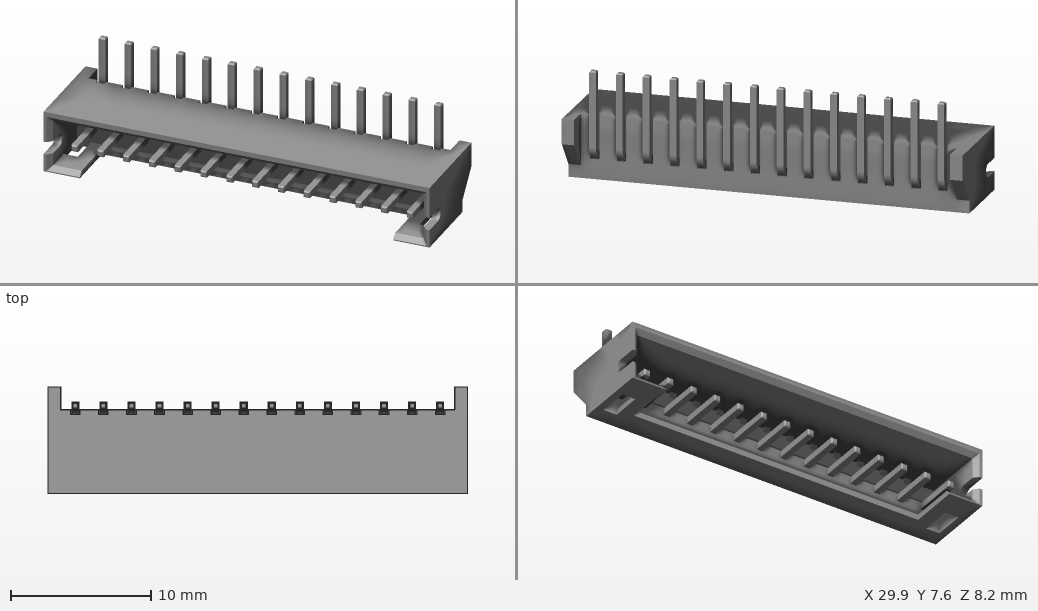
import cadquery as cq

LENGTH = 29.9
BODY_HEIGHT = 4.78
BODY_DEPTH = 5.98
TOTAL_DEPTH = 7.6
TOTAL_HEIGHT = 8.2

EAR_WIDTH = 0.93
EAR_REAR_Z = 2.9
EAR_SLOPE_BOTTOM_Z = 0.95

END_WALL = 0.6
FLOOR = 0.45
ROOF = 0.75
MOUTH_CHAMFER = 0.35
LOWER_WALL_Y = 4.63
STEP_LOW_Z = 2.05
STEP_HIGH_Z = 2.8
UPPER_WALL_Y = LOWER_WALL_Y + STEP_HIGH_Z - STEP_LOW_Z

TAB_WIDTH = 2.8
NOTCH_DEPTH = 4.05
WINDOW_WIDTH = 1.1
WINDOW_FRONT_Y = 2.2

LATCH_HEIGHT = 1.0
LATCH_DEPTH = 2.0
LATCH_CENTRE_Z = 1.88

PIN_COUNT = 14
PIN_SPAN = 25.98
PIN_PITCH = PIN_SPAN / (PIN_COUNT - 1)
PIN_SIZE = 0.5
PIN_FRONT_Y = 1.0
PIN_BOTTOM_Z = 1.47
LEG_FRONT_Y = 6.0
BEND_RADIUS = 0.5
TIP_LENGTH = 0.1
TIP_INSET = 0.1

PIN_SLOT_WIDTH = 0.7
PIN_SLOT_DEPTH = 0.35

GUSSET_WIDTH = 0.5
GUSSET_SIZE = 0.3


def box(x0, x1, y0, y1, z0, z1):
    """Axis-aligned box between two corners."""
    return cq.Workplane("XY").box(x1 - x0, y1 - y0, z1 - z0, centered=False).translate((x0, y0, z0))


def extrude_profile(yz_points, x0, width):
    """Extrude a closed (y, z) outline along +X from x0."""
    return cq.Workplane("YZ").polyline(yz_points).close().extrude(width).translate((x0, 0, 0))


def make_shell():
    """Housing block with an ear at each end."""
    shell = box(0, LENGTH, 0, BODY_DEPTH, 0, BODY_HEIGHT)
    ear_outline = [
        (0, 0),
        (BODY_DEPTH, 0),
        (BODY_DEPTH, EAR_SLOPE_BOTTOM_Z),
        (TOTAL_DEPTH, EAR_REAR_Z),
        (TOTAL_DEPTH, BODY_HEIGHT),
        (0, BODY_HEIGHT),
    ]
    for x0 in (0, LENGTH - EAR_WIDTH):
        shell = shell.union(extrude_profile(ear_outline, x0, EAR_WIDTH))
    return shell


def make_cavity():
    """Stepped mating cavity with a chamfered mouth."""
    roof_z = BODY_HEIGHT - ROOF
    inner_length = LENGTH - 2 * END_WALL
    inner_height = roof_z - FLOOR
    outline = [
        (0, FLOOR),
        (LOWER_WALL_Y, FLOOR),
        (LOWER_WALL_Y, STEP_LOW_Z),
        (UPPER_WALL_Y, STEP_HIGH_Z),
        (UPPER_WALL_Y, roof_z),
        (0, roof_z),
    ]
    cavity = extrude_profile(outline, END_WALL, inner_length)
    mouth = (
        cq.Workplane("XZ", origin=(LENGTH / 2, 0, FLOOR + inner_height / 2))
        .rect(inner_length + 2 * MOUTH_CHAMFER, inner_height + 2 * MOUTH_CHAMFER)
        .workplane(offset=-MOUTH_CHAMFER)
        .rect(inner_length, inner_height)
        .loft(ruled=True)
    )
    return cavity.union(mouth)


def make_floor_openings():
    """Central notch, leaving a tab at each end, and a window behind each tab."""
    openings = box(TAB_WIDTH, LENGTH - TAB_WIDTH, 0, NOTCH_DEPTH, 0, FLOOR)
    for x0 in (END_WALL, LENGTH - END_WALL - WINDOW_WIDTH):
        window = box(x0, x0 + WINDOW_WIDTH, WINDOW_FRONT_Y, LOWER_WALL_Y, 0, FLOOR)
        openings = openings.union(window)
    return openings


def make_latch_slots():
    """Round-ended slot through both end walls, open at the front."""
    radius = LATCH_HEIGHT / 2
    low_z = LATCH_CENTRE_Z - radius
    high_z = LATCH_CENTRE_Z + radius
    return (
        cq.Workplane("YZ")
        .moveTo(0, low_z)
        .lineTo(LATCH_DEPTH - radius, low_z)
        .threePointArc((LATCH_DEPTH, LATCH_CENTRE_Z), (LATCH_DEPTH - radius, high_z))
        .lineTo(0, high_z)
        .close()
        .extrude(LENGTH)
    )


def make_gusset(x):
    """45 degree gusset under the roof against the upper rear wall."""
    roof_z = BODY_HEIGHT - ROOF
    outline = [
        (UPPER_WALL_Y, roof_z),
        (UPPER_WALL_Y - GUSSET_SIZE, roof_z),
        (UPPER_WALL_Y, roof_z - GUSSET_SIZE),
    ]
    return extrude_profile(outline, x - GUSSET_WIDTH / 2, GUSSET_WIDTH)


def make_pin_slot(x):
    """Slot in the rear face that clears one pin bend."""
    half = PIN_SLOT_WIDTH / 2
    return box(x - half, x + half, BODY_DEPTH - PIN_SLOT_DEPTH, BODY_DEPTH, PIN_BOTTOM_Z, BODY_HEIGHT)


def make_tip(plane, origin):
    """Tapered pin tip growing along the plane normal."""
    end_size = PIN_SIZE - 2 * TIP_INSET
    return (
        cq.Workplane(plane, origin=origin)
        .rect(PIN_SIZE, PIN_SIZE)
        .workplane(offset=TIP_LENGTH)
        .rect(end_size, end_size)
        .loft(ruled=True)
    )


def make_pin(x):
    """Square pin: horizontal contact, bend behind the body, vertical leg."""
    rear_y = LEG_FRONT_Y + PIN_SIZE
    top_z = PIN_BOTTOM_Z + PIN_SIZE
    shaft_y = PIN_FRONT_Y + TIP_LENGTH
    shaft_z = TOTAL_HEIGHT - TIP_LENGTH
    outer_radius = BEND_RADIUS + PIN_SIZE
    shaft = (
        cq.Workplane("YZ", origin=(x - PIN_SIZE / 2, 0, 0))
        .moveTo(shaft_y, PIN_BOTTOM_Z)
        .lineTo(rear_y - outer_radius, PIN_BOTTOM_Z)
        .radiusArc((rear_y, PIN_BOTTOM_Z + outer_radius), -outer_radius)
        .lineTo(rear_y, shaft_z)
        .lineTo(LEG_FRONT_Y, shaft_z)
        .lineTo(LEG_FRONT_Y, top_z + BEND_RADIUS)
        .radiusArc((LEG_FRONT_Y - BEND_RADIUS, top_z), BEND_RADIUS)
        .lineTo(shaft_y, top_z)
        .close()
        .extrude(PIN_SIZE)
    )
    front_tip = make_tip("XZ", (x, shaft_y, PIN_BOTTOM_Z + PIN_SIZE / 2))
    top_tip = make_tip("XY", (x, LEG_FRONT_Y + PIN_SIZE / 2, shaft_z))
    return shaft.union(front_tip).union(top_tip)


first_pin_x = (LENGTH - PIN_SPAN) / 2
pin_positions = [first_pin_x + index * PIN_PITCH for index in range(PIN_COUNT)]

housing = make_shell().cut(make_cavity()).cut(make_floor_openings()).cut(make_latch_slots())

for pin_x in pin_positions:
    housing = housing.cut(make_pin_slot(pin_x))

for pin_x in pin_positions[:-1]:
    housing = housing.union(make_gusset(pin_x + PIN_PITCH / 2))

for pin_x in pin_positions:
    housing = housing.union(make_pin(pin_x))

result = housing